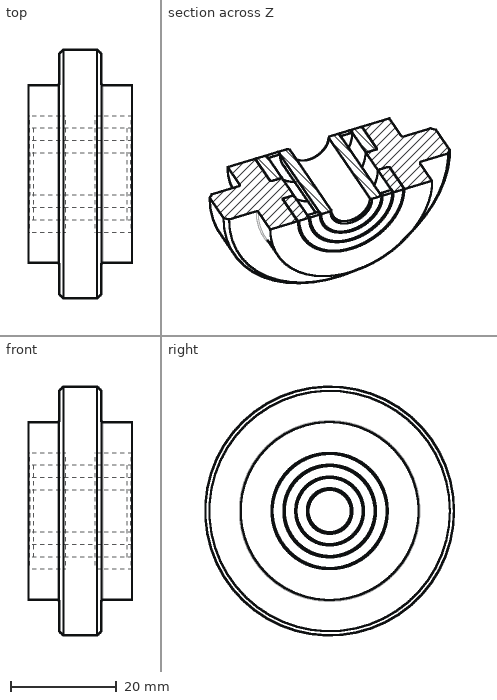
import cadquery as cq

flange_diameter = 47.0
flange_width = 8.0
flange_chamfer = 0.8
hub_diameter = 33.6
hub_width = 19.6
root_fillet = 0.3

bearing_diameter = 22.0
bearing_width = 7.0
bearing_chamfer = 0.25
outer_ring_bore = 17.35
ring_edge_chamfer = 0.1

shield_thickness = 0.95
shield_outer_chamfer = 0.2
shield_inner_diameter = 13.0

sleeve_diameter = 12.7
sleeve_bore = 8.0
bore_chamfer = 0.35

shield_inner_chamfer = (shield_inner_diameter - sleeve_diameter) / 2
hub_face = hub_width / 2
flange_face = flange_width / 2

inner_edge = cq.selectors.RadiusNthSelector(0)
outer_edge = cq.selectors.RadiusNthSelector(-1)


def cylinder(diameter, width, start):
    """Cylinder along +X beginning at x = start."""
    return cq.Workplane("YZ", origin=(start, 0, 0)).circle(diameter / 2).extrude(width)


def ring(outer_diameter, bore, width, start):
    """Plain ring along +X beginning at x = start."""
    return cylinder(outer_diameter, width, start).cut(cylinder(bore, width, start))


def make_wheel():
    flange = cylinder(flange_diameter, flange_width, -flange_face)
    flange = flange.faces("<X or >X").edges().chamfer(flange_chamfer)
    wheel = flange.union(cylinder(hub_diameter, hub_width, -hub_face))

    root_reach = hub_diameter / 2 + root_fillet
    for x in (-flange_face, flange_face):
        root_box = cq.selectors.BoxSelector(
            (x - root_fillet, -root_reach, -root_reach),
            (x + root_fillet, root_reach, root_reach),
            boundingbox=True,
        )
        wheel = wheel.edges("%CIRCLE").edges(root_box).fillet(root_fillet)

    wheel = wheel.cut(cylinder(outer_ring_bore, hub_width, -hub_face))
    for seat_start in (-hub_face, hub_face - bearing_width):
        wheel = wheel.cut(cylinder(bearing_diameter, bearing_width, seat_start))
    return wheel


def make_outer_ring():
    """Outer ring of the bearing at the -X end."""
    outer_ring = ring(bearing_diameter, outer_ring_bore, bearing_width, -hub_face)
    outer_ring = outer_ring.faces("<X").edges(inner_edge).chamfer(ring_edge_chamfer)
    return outer_ring.faces("<X").edges(outer_edge).chamfer(bearing_chamfer)


def make_shield():
    """Shield of the bearing at the -X end, filling the gap from sleeve to outer ring."""
    shield = ring(outer_ring_bore, sleeve_diameter, shield_thickness, -hub_face)
    shield = shield.faces("<X").edges(inner_edge).chamfer(shield_inner_chamfer)
    return shield.faces("<X").edges(outer_edge).chamfer(shield_outer_chamfer)


def make_sleeve():
    sleeve = ring(sleeve_diameter, sleeve_bore, hub_width, -hub_face)
    for end in ("<X", ">X"):
        sleeve = sleeve.faces(end).edges(inner_edge).chamfer(bore_chamfer)
        sleeve = sleeve.faces(end).edges(outer_edge).chamfer(ring_edge_chamfer)
    return sleeve


wheel = make_wheel()
sleeve = make_sleeve()

bearing_parts = []
for make_part in (make_outer_ring, make_shield):
    part = make_part()
    bearing_parts.append(part.val())
    bearing_parts.append(part.mirror("YZ").val())

result = cq.Compound.makeCompound([wheel.val(), sleeve.val(), *bearing_parts])